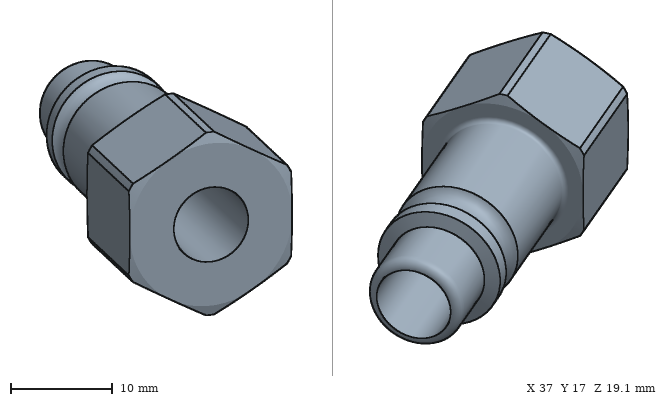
import cadquery as cq
import math

total_length = 37.0
hex_length = 12.5
hex_start = total_length - hex_length

bore_diameter = 7.8
tip_diameter = 9.9
body_diameter = 12.9

tip_rounding = 1.0
collar_start = 6.6
collar_cone_length = 0.4
collar_cone_end = collar_start + collar_cone_length

groove_start = 8.65
groove_width = 3.25
groove_depth = 1.05
groove_end = groove_start + groove_width
groove_middle = groove_start + groove_width / 2

root_fillet = 0.5

across_flats = 17.0
across_corners = 19.15
end_chamfer_angle = 15.0


def make_shank():
    """Turned tip, collar, groove and body as one profile revolved about X."""
    tip_radius = tip_diameter / 2
    body_radius = body_diameter / 2
    rounding_offset = tip_rounding * math.sqrt(0.5)
    fillet_offset = root_fillet * math.sqrt(0.5)
    fillet_start = hex_start - root_fillet
    fillet_center_radius = body_radius + root_fillet
    profile = (
        cq.Workplane("XY")
        .moveTo(0, 0)
        .lineTo(0, tip_radius - tip_rounding)
        .threePointArc(
            (tip_rounding - rounding_offset, tip_radius - tip_rounding + rounding_offset),
            (tip_rounding, tip_radius),
        )
        .lineTo(collar_start, tip_radius)
        .lineTo(collar_cone_end, body_radius)
        .lineTo(groove_start, body_radius)
        .threePointArc((groove_middle, body_radius - groove_depth), (groove_end, body_radius))
        .lineTo(fillet_start, body_radius)
        .threePointArc(
            (fillet_start + fillet_offset, fillet_center_radius - fillet_offset),
            (hex_start, fillet_center_radius),
        )
        .lineTo(hex_start, 0)
        .close()
    )
    return profile.revolve(360, (0, 0, 0), (1, 0, 0))


def make_hexagon():
    """Hexagon with corners on +Z and -Z, limited by a cylinder with conical ends."""
    point_diameter = across_flats / math.cos(math.pi / 6)
    prism = (
        cq.Workplane("YZ", origin=(hex_start, 0, 0))
        .transformed(rotate=(0, 0, 90))
        .polygon(6, point_diameter)
        .extrude(hex_length)
    )
    face_radius = across_flats / 2
    corner_radius = across_corners / 2
    chamfer_length = (corner_radius - face_radius) * math.tan(math.radians(end_chamfer_angle))
    envelope = (
        cq.Workplane("XY")
        .moveTo(hex_start, 0)
        .lineTo(hex_start, face_radius)
        .lineTo(hex_start + chamfer_length, corner_radius)
        .lineTo(total_length - chamfer_length, corner_radius)
        .lineTo(total_length, face_radius)
        .lineTo(total_length, 0)
        .close()
        .revolve(360, (0, 0, 0), (1, 0, 0))
    )
    return prism.intersect(envelope)


def make_bore():
    """Straight bore through the full length."""
    return cq.Workplane("YZ").circle(bore_diameter / 2).extrude(total_length)


result = make_shank().union(make_hexagon()).cut(make_bore())